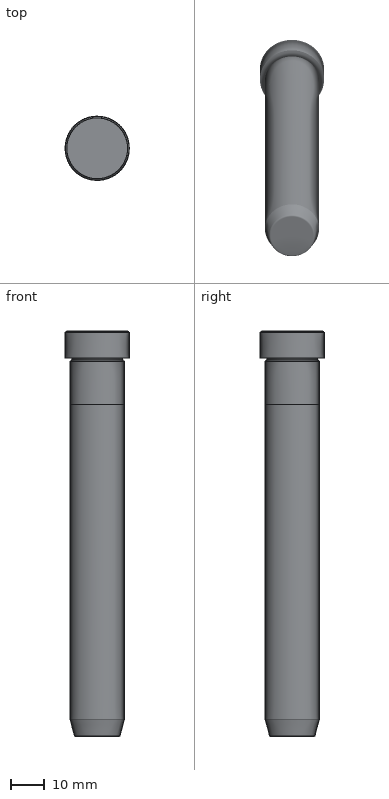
import cadquery as cq
import math

total_length = 120.0
top_z = total_length / 2
bottom_z = top_z - total_length

head_radius = 19.0 / 2
head_height = 8.0
head_chamfer = 0.5
head_bottom_z = top_z - head_height

shank_radius = 16.0 / 2
joint_depth = 21.7
joint_z = top_z - joint_depth

groove_depth = 0.5
groove_width = 1.0
neck_radius = shank_radius - groove_depth
groove_bottom_z = head_bottom_z - groove_width

lead_in_length = 5.0
lead_in_angle = math.radians(15.0)
tip_fillet = 0.5
lead_in_top_z = bottom_z + lead_in_length
tip_radius = shank_radius - lead_in_length * math.tan(lead_in_angle)


def revolve_about_z(profile):
    """Turn a closed half profile, drawn in the XZ plane, fully around the Z axis."""
    return profile.revolve(360, (0, 0, 0), (0, 1, 0))


def make_headed_section():
    """Chamfered head, relief groove and the upper stretch of the shank."""
    profile = (
        cq.Workplane("XZ")
        .moveTo(0, joint_z)
        .lineTo(shank_radius, joint_z)
        .lineTo(shank_radius, groove_bottom_z)
        .lineTo(neck_radius, groove_bottom_z + groove_depth)
        .lineTo(neck_radius, head_bottom_z)
        .lineTo(head_radius, head_bottom_z)
        .lineTo(head_radius, top_z)
        .lineTo(0, top_z)
        .close()
    )
    return revolve_about_z(profile).faces(">Z").chamfer(head_chamfer)


def make_guide_section():
    """Long lower shank ending in a tapered lead-in with a rounded tip edge."""
    profile = (
        cq.Workplane("XZ")
        .moveTo(0, joint_z)
        .lineTo(shank_radius, joint_z)
        .lineTo(shank_radius, lead_in_top_z)
        .lineTo(tip_radius, bottom_z)
        .lineTo(0, bottom_z)
        .close()
    )
    return revolve_about_z(profile).faces("<Z").edges().fillet(tip_fillet)


headed_section = make_headed_section()
guide_section = make_guide_section()

result = cq.Compound.makeCompound([headed_section.val(), guide_section.val()])